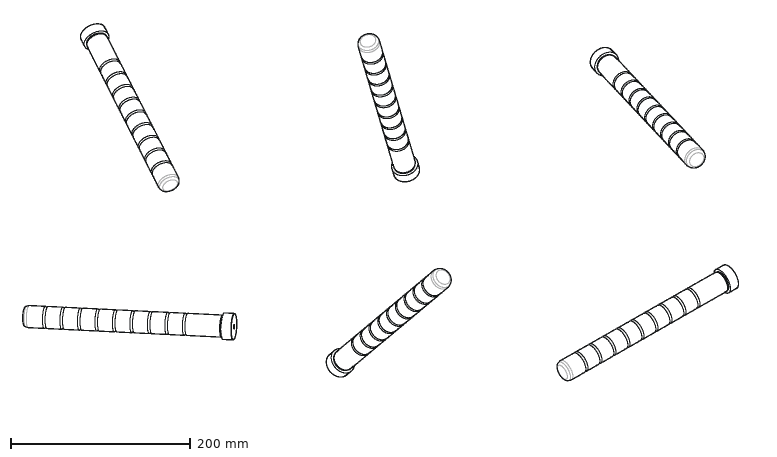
import cadquery as cq
import math

total_length = 240.0
body_radius = 12.5

head_radius = 15.0
head_length = 12.0
head_chamfer = 0.5

neck_depth = 0.5
neck_length = 1.4
neck_run_out = neck_depth

groove_count = 9
groove_pitch = 20.0
first_groove_x = 55.0
groove_width = 3.0
groove_depth = 0.7

lead_angle = 15.0
lead_length = 5.0
end_round = 3.0

center_hole_mouth_radius = 2.65
center_hole_radius = 1.6
center_hole_depth = 10.0
drill_half_angle = 59.0


def tangent_of(angle):
    """Tangent of an angle given in degrees."""
    return math.tan(math.radians(angle))


def add_groove(profile, center_x):
    """Continue the profile along the body and through one arc-shaped groove."""
    half_width = groove_width / 2
    return profile.lineTo(center_x - half_width, body_radius).threePointArc(
        (center_x, body_radius - groove_depth),
        (center_x + half_width, body_radius),
    )


def make_pin():
    """Revolve the stepped, grooved half profile about the X axis."""
    neck_radius = body_radius - neck_depth
    neck_end_x = head_length + neck_length
    profile = (
        cq.Workplane("XZ")
        .lineTo(0, head_radius - head_chamfer)
        .lineTo(head_chamfer, head_radius)
        .lineTo(head_length, head_radius)
        .lineTo(head_length, neck_radius)
        .lineTo(neck_end_x, neck_radius)
        .lineTo(neck_end_x + neck_run_out, body_radius)
    )
    for index in range(groove_count):
        profile = add_groove(profile, first_groove_x + index * groove_pitch)

    lead_drop = lead_length * tangent_of(lead_angle)
    profile = (
        profile.lineTo(total_length - lead_length, body_radius)
        .lineTo(total_length, body_radius - lead_drop)
        .lineTo(total_length, 0)
        .close()
    )
    pin = profile.revolve(360, (0, 0, 0), (1, 0, 0))
    return pin.faces(">X").edges().fillet(end_round)


def make_center_hole():
    """Countersunk blind hole with a drill point, running along +X from the head face."""
    countersink_depth = center_hole_mouth_radius - center_hole_radius
    drill_point_length = center_hole_radius / tangent_of(drill_half_angle)
    return (
        cq.Workplane("XZ")
        .lineTo(0, center_hole_mouth_radius)
        .lineTo(countersink_depth, center_hole_radius)
        .lineTo(center_hole_depth, center_hole_radius)
        .lineTo(center_hole_depth + drill_point_length, 0)
        .close()
        .revolve(360, (0, 0, 0), (1, 0, 0))
    )


result = make_pin().cut(make_center_hole())